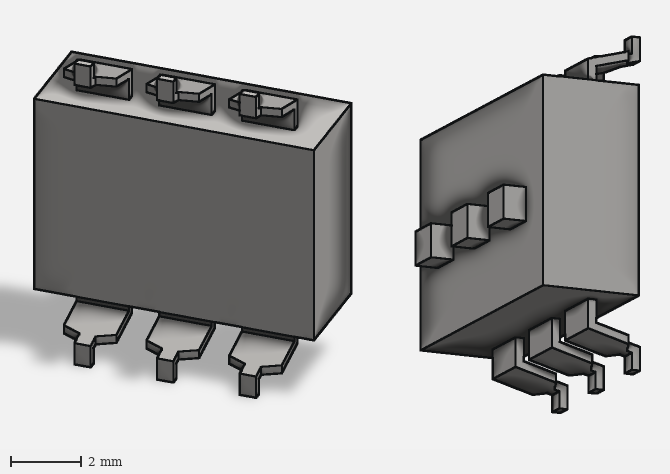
import cadquery as cq
import math

body_width = 8.56
body_depth = 3.0
body_height = 6.19

column_pitch = 2.53
column_positions = [column * column_pitch for column in (-1, 0, 1)]

boss_width = 1.1
boss_height = 1.0
boss_length = 0.7
boss_center_z = -0.44

overall_height = 9.8
lead_thickness = 0.25
lead_width = 1.61
lead_tip_width = 0.5
lead_back_y = 1.17
lead_front_y = -0.71
lead_slope = 15
lead_tip_length = 0.5
shoulder_start_y = lead_front_y + 0.61
shoulder_angle = 20
shoulder_drop = (lead_width - lead_tip_width) / 2 * math.tan(math.radians(shoulder_angle))
shoulder_end_y = shoulder_start_y - shoulder_drop


def make_body():
    return cq.Workplane("XY").box(body_width, body_depth, body_height).translate((0, body_depth / 2, 0))


def make_boss(x):
    boss = cq.Workplane("XY").box(boss_width, boss_length, boss_height)
    return boss.translate((x, body_depth + boss_length / 2, boss_center_z))


def make_top_lead(x):
    """Z-bent strip whose plan outline narrows through tapered shoulders to the tip."""
    rise = math.tan(math.radians(lead_slope))
    sloped_height = lead_thickness / math.cos(math.radians(lead_slope))
    root_z = body_height / 2
    tip_z = overall_height / 2
    tip_back_y = lead_front_y + lead_thickness
    root_front_y = lead_back_y - lead_thickness

    def upper_z(y):
        return tip_z - lead_tip_length - rise * (y - tip_back_y)

    strip = (
        cq.Workplane("YZ")
        .polyline([
            (lead_back_y, root_z),
            (lead_back_y, upper_z(lead_back_y)),
            (tip_back_y, upper_z(tip_back_y)),
            (tip_back_y, tip_z),
            (lead_front_y, tip_z),
            (lead_front_y, upper_z(lead_front_y) - sloped_height),
            (root_front_y, upper_z(root_front_y) - sloped_height),
            (root_front_y, root_z),
        ])
        .close()
        .extrude(lead_width / 2, both=True)
    )
    plan = (
        cq.Workplane("XY")
        .workplane(offset=root_z)
        .polyline([
            (-lead_width / 2, lead_back_y),
            (-lead_width / 2, shoulder_start_y),
            (-lead_tip_width / 2, shoulder_end_y),
            (-lead_tip_width / 2, lead_front_y),
            (lead_tip_width / 2, lead_front_y),
            (lead_tip_width / 2, shoulder_end_y),
            (lead_width / 2, shoulder_start_y),
            (lead_width / 2, lead_back_y),
        ])
        .close()
        .extrude(tip_z - root_z)
    )
    return strip.intersect(plan).translate((x, 0, 0))


result = make_body()
for column_x in column_positions:
    top_lead = make_top_lead(column_x)
    bottom_lead = top_lead.mirror("XY")
    result = result.union(make_boss(column_x)).union(top_lead).union(bottom_lead)